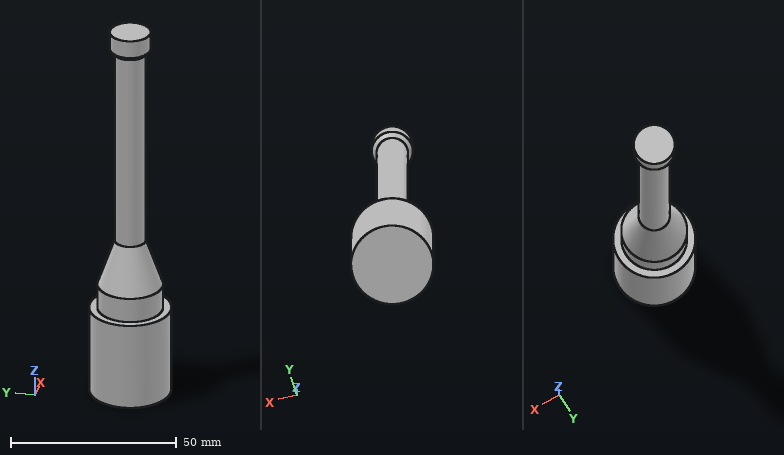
import cadquery as cq

total_height = 122.0
base_height = 28.0
collar_top = 36.0
cone_top = 51.0
head_height = 5.7
head_taper_height = 1.5

base_diameter = 25.0
collar_diameter = 20.0
stem_diameter = 9.5
head_diameter = base_diameter / 2

base_radius = base_diameter / 2
collar_radius = collar_diameter / 2
stem_radius = stem_diameter / 2
head_radius = head_diameter / 2
head_bottom = total_height - head_height
stem_top = head_bottom - head_taper_height

profile = (
    cq.Workplane("XZ")
    .moveTo(0, 0)
    .lineTo(base_radius, 0)
    .lineTo(base_radius, base_height)
    .lineTo(collar_radius, base_height)
    .lineTo(collar_radius, collar_top)
    .lineTo(stem_radius, cone_top)
    .lineTo(stem_radius, stem_top)
    .lineTo(head_radius, head_bottom)
    .lineTo(head_radius, total_height)
    .lineTo(0, total_height)
    .close()
)

result = profile.revolve(360, (0, 0, 0), (0, 1, 0))